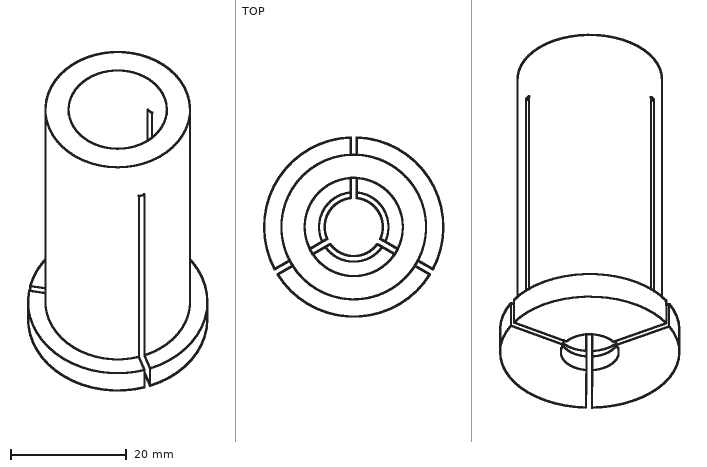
import cadquery as cq

total_height = 60.0
body_diameter = 25.0
flange_diameter = 31.0
flange_height = 5.0

main_bore_diameter = 17.0
seat_bore_diameter = 12.0
through_bore_diameter = 10.0
seat_floor_height = 3.0
main_bore_floor_height = flange_height

slot_count = 3
slot_width = 1.0
slot_height = 51.0
first_slot_angle = 90.0


def cylinder(diameter, bottom, top):
    """Upright cylinder on the Z axis between two heights."""
    return cq.Workplane("XY").workplane(offset=bottom).circle(diameter / 2).extrude(top - bottom)


def radial_slot(angle):
    """Slab running from the axis out past the flange, open at the bottom."""
    slab = cq.Workplane("XY").box(flange_diameter, slot_width, slot_height, centered=(False, True, False))
    return slab.rotate((0, 0, 0), (0, 0, 1), angle)


result = cylinder(body_diameter, 0, total_height).union(cylinder(flange_diameter, 0, flange_height))

result = result.cut(cylinder(through_bore_diameter, 0, total_height))
result = result.cut(cylinder(seat_bore_diameter, seat_floor_height, total_height))
result = result.cut(cylinder(main_bore_diameter, main_bore_floor_height, total_height))

for index in range(slot_count):
    result = result.cut(radial_slot(first_slot_angle + index * 360 / slot_count))